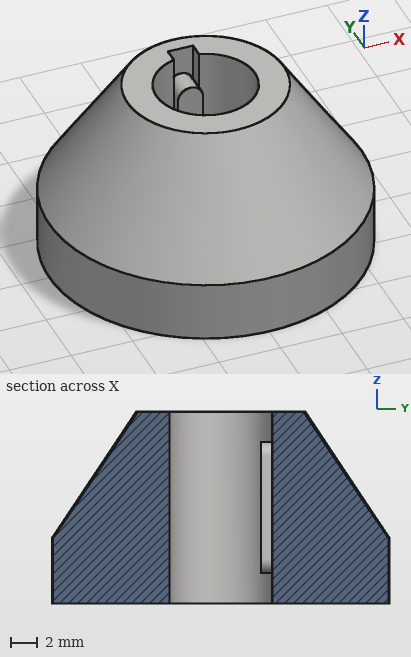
import cadquery as cq

base_diameter = 25.4
top_diameter = 12.7
hub_height = 14.45
base_height = 4.93
bore_diameter = 8.0

key_width = 2.03
key_depth = 2.0
key_length = 9.85
keyway_floor = 5.05


def make_hub():
    """Revolved hub with a through bore and a keyway along its whole height."""
    bore_radius = bore_diameter / 2
    base_radius = base_diameter / 2
    profile = (
        cq.Workplane("XZ")
        .moveTo(bore_radius, 0)
        .lineTo(base_radius, 0)
        .lineTo(base_radius, base_height)
        .lineTo(top_diameter / 2, hub_height)
        .lineTo(bore_radius, hub_height)
        .close()
    )
    body = profile.revolve(360, (0, 0, 0), (0, 1, 0))
    keyway = cq.Workplane("XY").box(
        key_width, keyway_floor, hub_height, centered=(True, False, False)
    )
    return body.cut(keyway)


def make_key():
    """Round-ended key seated against the keyway wall, centred on the hub height."""
    return (
        cq.Workplane("XZ", origin=(0, keyway_floor, hub_height / 2))
        .slot2D(key_length, key_width, 90)
        .extrude(key_depth)
    )


hub = make_hub()
key = make_key()

result = cq.Compound.makeCompound([hub.val(), key.val()])